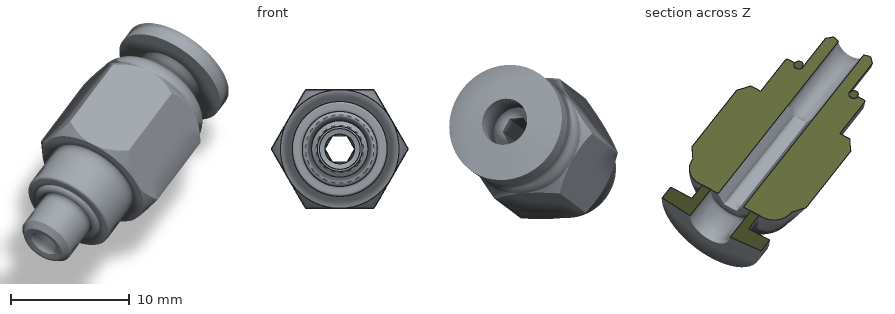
import cadquery as cq
import math


spigot_length = 3.6
shoulder_y = 4.0
hex_bottom_y = 8.0
hex_top_y = 17.0
flange_bottom_y = 20.38
flange_rim_y = 21.75
overall_length = 22.0

hex_across_flats = 10.0
hex_flat_radius = hex_across_flats / 2
hex_sharp_corner_radius = hex_flat_radius / math.cos(math.pi / 6)
hex_corner_trim = 0.02
hex_corner_radius = hex_sharp_corner_radius - hex_corner_trim
hex_chamfer_height = 1.01

spigot_radius = 2.37
spigot_chamfer = 0.48
shoulder_radius = 4.0
shoulder_fillet = 0.2
dome_edge_radius = 1.8
dome_top_y = hex_top_y + dome_edge_radius

bore_radius = 1.25
countersink_radius = 1.72
countersink_depth = 0.15
socket_across_corners = 2 * bore_radius
socket_bottom_y = hex_bottom_y

ring_section_radius = shoulder_y - spigot_length
ring_center_radius = spigot_radius + ring_section_radius
ring_outer_radius = ring_center_radius + ring_section_radius

neck_radius = 2.88
flange_radius = hex_flat_radius
sleeve_bore_radius = 2.0


def turned(profile):
    """Revolve a closed radius-height profile about the Y axis."""
    return profile.revolve(360, (0, 0, 0), (0, 1, 0))


def hex_prism(across_corners, bottom_y, top_y):
    """Hexagonal prism along Y with two corners on the X axis."""
    base = cq.Workplane("XZ").workplane(offset=-bottom_y)
    return base.polygon(6, across_corners).extrude(bottom_y - top_y)


def make_nut_section():
    """Hexagon with both ends chamfered and its corners trimmed by a turned envelope."""
    envelope = turned(
        cq.Workplane("XY")
        .moveTo(0, hex_bottom_y)
        .lineTo(hex_flat_radius, hex_bottom_y)
        .lineTo(hex_corner_radius, hex_bottom_y + hex_chamfer_height)
        .lineTo(hex_corner_radius, hex_top_y - hex_chamfer_height)
        .lineTo(hex_flat_radius, hex_top_y)
        .lineTo(0, hex_top_y)
        .close()
    )
    return hex_prism(2 * hex_sharp_corner_radius, hex_bottom_y, hex_top_y).intersect(envelope)


def make_spigot_and_shoulder():
    """Chamfered spigot, half-round ring groove and round-edged shoulder below the nut section."""
    groove_bottom = (ring_center_radius, shoulder_y + ring_section_radius)
    return turned(
        cq.Workplane("XY")
        .lineTo(spigot_radius - spigot_chamfer, 0)
        .lineTo(spigot_radius, spigot_chamfer)
        .lineTo(spigot_radius, shoulder_y)
        .threePointArc(groove_bottom, (ring_outer_radius, shoulder_y))
        .lineTo(shoulder_radius - shoulder_fillet, shoulder_y)
        .radiusArc((shoulder_radius, shoulder_y + shoulder_fillet), -shoulder_fillet)
        .lineTo(shoulder_radius, hex_bottom_y)
        .lineTo(0, hex_bottom_y)
        .close()
    )


def make_dome():
    """Cap above the nut section with a quarter-round edge."""
    arc_offset = dome_edge_radius * math.sin(math.pi / 4)
    arc_center_radius = hex_flat_radius - dome_edge_radius
    arc_middle = (arc_center_radius + arc_offset, hex_top_y + arc_offset)
    return turned(
        cq.Workplane("XY")
        .moveTo(0, hex_top_y)
        .lineTo(hex_flat_radius, hex_top_y)
        .threePointArc(arc_middle, (arc_center_radius, dome_top_y))
        .lineTo(0, dome_top_y)
        .close()
    )


def make_entry_bore():
    """Countersunk round bore from the spigot tip to the hexagonal socket."""
    return turned(
        cq.Workplane("XY")
        .lineTo(countersink_radius, 0)
        .lineTo(bore_radius, countersink_depth)
        .lineTo(bore_radius, socket_bottom_y)
        .lineTo(0, socket_bottom_y)
        .close()
    )


def make_housing():
    body = make_nut_section().union(make_spigot_and_shoulder()).union(make_dome())
    socket = hex_prism(socket_across_corners, socket_bottom_y, dome_top_y)
    return body.cut(make_entry_bore()).cut(socket)


def make_seal_ring():
    return turned(cq.Workplane("XY").moveTo(ring_center_radius, shoulder_y).circle(ring_section_radius))


def make_release_sleeve():
    """Flanged sleeve standing on the dome, with a shallow cone on top running into its bore."""
    return turned(
        cq.Workplane("XY")
        .moveTo(sleeve_bore_radius, dome_top_y)
        .lineTo(neck_radius, dome_top_y)
        .lineTo(neck_radius, flange_bottom_y)
        .lineTo(flange_radius, flange_bottom_y)
        .lineTo(flange_radius, flange_rim_y)
        .lineTo(sleeve_bore_radius, overall_length)
        .close()
    )


housing = make_housing()
seal_ring = make_seal_ring()
release_sleeve = make_release_sleeve()

result = cq.Compound.makeCompound([housing.solids().val(), seal_ring.val(), release_sleeve.val()])